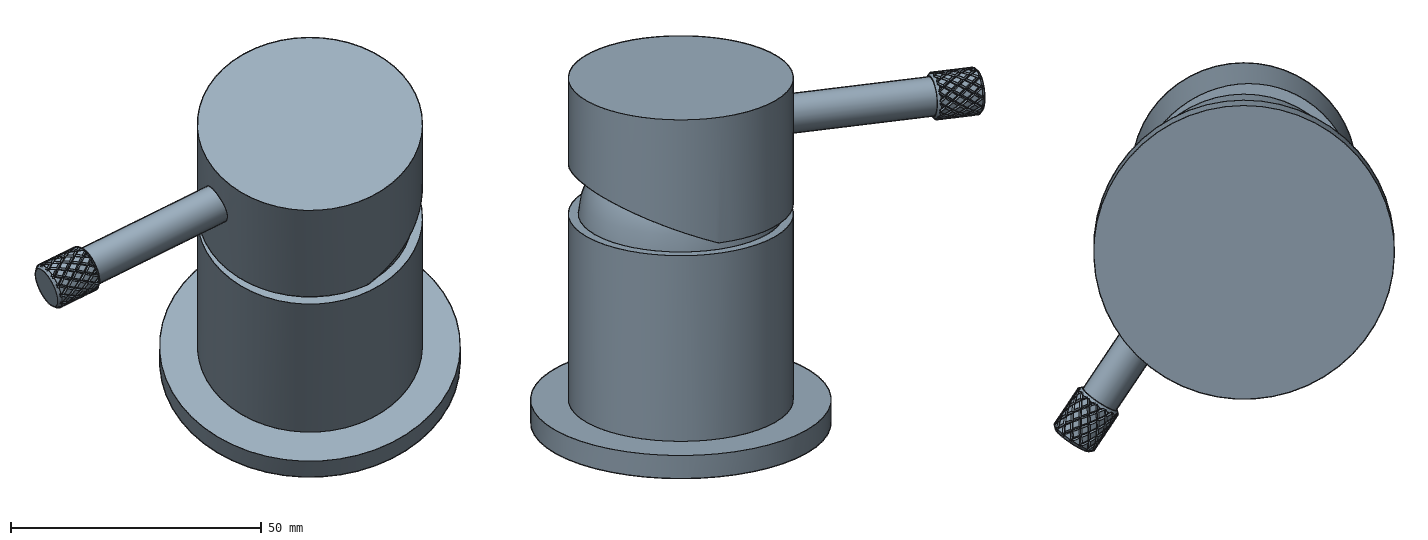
import cadquery as cq
import math

FLANGE_DIAMETER = 60.0
FLANGE_HEIGHT = 5.0
BODY_DIAMETER = 45.0
BODY_HEIGHT = 40.0
BODY_TOP = FLANGE_HEIGHT + BODY_HEIGHT

BALL_RADIUS = 20.5
BALL_CENTRE_Z = BODY_TOP - 1.4

HEAD_GAP = 2.2
HEAD_BOTTOM = BODY_TOP + HEAD_GAP
HEAD_HEIGHT = 27.0
HEAD_TOP = HEAD_BOTTOM + HEAD_HEIGHT
HEAD_RADIUS = BODY_DIAMETER / 2
BEVEL_START_Y = -0.65
BEVEL_ANGLE = 21

OVERALL_LENGTH = 92.5
LEVER_TIP_Y = FLANGE_DIAMETER / 2 - OVERALL_LENGTH
LEVER_DROP = 10.5
LEVER_Z = HEAD_TOP - LEVER_DROP
ROD_RADIUS = 4.0
SOCKET_DEPTH = 7.4
ROD_INNER_Y = SOCKET_DEPTH - HEAD_RADIUS
KNOB_RADIUS = 4.8
KNOB_LENGTH = 10.0
KNOB_CHAMFER = 0.65
KNOB_INNER_Y = LEVER_TIP_Y + KNOB_LENGTH

STUDS_PER_ROW = 14
STUD_PITCH_ANGLE = 360 / STUDS_PER_ROW
STUD_AXIAL_PITCH = 3.05
ROW_SPACING = STUD_AXIAL_PITCH / 2
ROW_COUNT = math.floor(KNOB_LENGTH / ROW_SPACING) + 2
GROOVE_DEPTH = 0.3
GROOVE_WIDTH = 0.6
STUD_SINK = 0.2
KNURL_PHASE = 7.9


def cylinder(radius, height, bottom):
    return cq.Workplane("XY", origin=(0, 0, bottom)).circle(radius).extrude(height)


def lever_plane(y):
    """Sketch plane across the lever axis at y, facing the lever tip."""
    return cq.Workplane("XZ", origin=(0, y, LEVER_Z))


def make_dome():
    ball = cq.Workplane("XY", origin=(0, 0, BALL_CENTRE_Z)).sphere(BALL_RADIUS)
    return ball.intersect(cylinder(BALL_RADIUS, 2 * BALL_RADIUS, BODY_TOP))


def make_rod():
    return lever_plane(ROD_INNER_Y).circle(ROD_RADIUS).extrude(ROD_INNER_Y - KNOB_INNER_Y)


def make_head():
    """Cap with its rear underside bevelled, a seat for the dome and a socket for the rod."""
    bevel_run = HEAD_RADIUS - BEVEL_START_Y
    bevel_rise = bevel_run * math.tan(math.radians(BEVEL_ANGLE))
    bevel = (
        cq.Workplane("YZ")
        .moveTo(BEVEL_START_Y, HEAD_BOTTOM)
        .lineTo(HEAD_RADIUS, HEAD_BOTTOM)
        .lineTo(HEAD_RADIUS, HEAD_BOTTOM + bevel_rise)
        .close()
        .extrude(HEAD_RADIUS, both=True)
    )
    head = cylinder(HEAD_RADIUS, HEAD_HEIGHT, HEAD_BOTTOM).cut(bevel)
    return head.cut(make_dome()).cut(make_rod())


def knob_blank(radius):
    return lever_plane(KNOB_INNER_Y).circle(radius).extrude(KNOB_LENGTH)


def make_stud():
    """Diamond frustum that stands out along +X from the lever axis, at the inner end of the knob.

    Neighbouring studs overlap at their sunken bases, so their flanks meet in V grooves.
    """
    half_pitch = math.radians(STUD_PITCH_ANGLE / 2)
    cell_radius = (KNOB_RADIUS - GROOVE_DEPTH) * math.cos(half_pitch / 2)
    cell_half_width = cell_radius * math.tan(half_pitch)
    cell_half_length = ROW_SPACING
    cell_inset = cell_half_width * cell_half_length / math.hypot(cell_half_width, cell_half_length)
    flank_slope = GROOVE_WIDTH / 2 / (KNOB_RADIUS - cell_radius)
    base_scale = 1 + STUD_SINK * flank_slope / cell_inset
    base_half_width = base_scale * cell_half_width
    base_half_length = base_scale * cell_half_length
    base_radius = cell_radius - STUD_SINK
    return (
        cq.Workplane("YZ", origin=(base_radius, KNOB_INNER_Y, LEVER_Z))
        .moveTo(base_half_length, 0)
        .lineTo(0, base_half_width)
        .lineTo(-base_half_length, 0)
        .lineTo(0, -base_half_width)
        .close()
        .extrude(KNOB_RADIUS - base_radius, taper=math.degrees(math.atan(flank_slope)))
        .val()
    )


def make_knob():
    """Chamfered knob with a diamond knurl."""
    stud = make_stud()
    axis_start = cq.Vector(0, 0, LEVER_Z)
    axis_end = cq.Vector(0, -0.9, LEVER_Z)
    studs = []
    for row in range(ROW_COUNT):
        row_offset = cq.Vector(0, -row * ROW_SPACING, 0)
        for i in range(STUDS_PER_ROW):
            angle = KNURL_PHASE + (i + row / 2) * STUD_PITCH_ANGLE
            studs.append(stud.rotate(axis_start, axis_end, angle).translate(row_offset))
    core = knob_blank(KNOB_RADIUS - GROOVE_DEPTH - STUD_SINK / 2).val()
    knurled = core.fuse(*studs)
    envelope = knob_blank(KNOB_RADIUS).faces("|Y").chamfer(KNOB_CHAMFER)
    return envelope.intersect(cq.Workplane(knurled))


def make_lever():
    """Round rod with the knurled knob at its tip."""
    return make_rod().union(make_knob())


flange = cylinder(FLANGE_DIAMETER / 2, FLANGE_HEIGHT, 0)
body = cylinder(BODY_DIAMETER / 2, BODY_HEIGHT, FLANGE_HEIGHT)
dome = make_dome()
head = make_head()
lever = make_lever()

bodies = [flange, body, dome, head, lever]
result = cq.Compound.makeCompound([part.solids().val() for part in bodies])